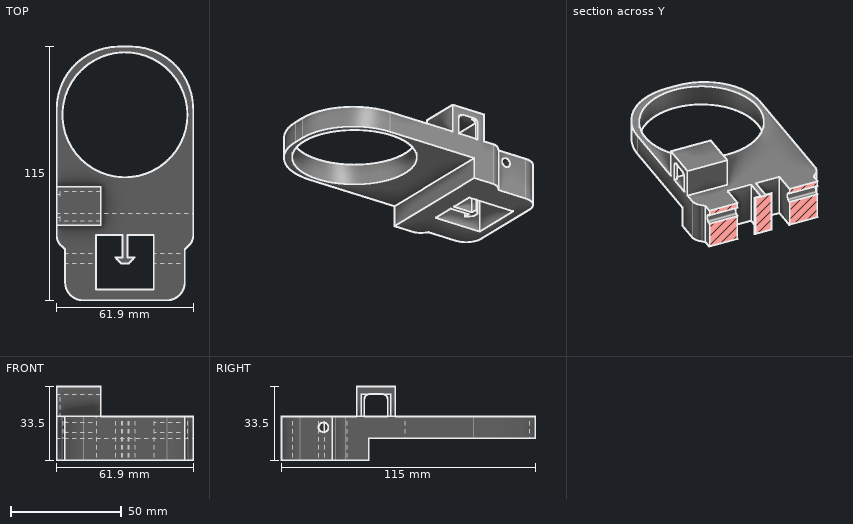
import cadquery as cq
import math

body_width = 61.9
body_length = 115.02
body_height = 20.0
plate_thickness = 10.0
half_width = body_width / 2
end_y = half_width
base_y = end_y - body_length

bore_diameter = 56.5
ring_corner_radius = bore_diameter / 2

block_start_y = -44.5
tail_half_width = 27.15
tail_corner_radius = 8.25
shoulder_start_y = -55.1
shoulder_arc_depth = 2.45
shoulder_arc_length = 4.5
shoulder_arc_bulge = 0.55

tunnel_width = 20.0
tunnel_length = 17.5
tunnel_height = 13.5
tunnel_wall = 3.5
tunnel_start_y = -32.5
tunnel_fillet = 2.3
tunnel_lip = 1.5
tunnel_undercut = 1.4

window_width = 26.0
window_length = 24.6
window_start_y = -54.5
tongue_width = 2.4
tongue_neck_length = 10.1
head_width = 8.8
head_tip_width = 3.4
head_length = 2.8

pin_diameter = 4.4
pin_y = -65.0
pin_z = 15.0


def make_body():
    chord = math.hypot(shoulder_arc_depth, shoulder_arc_length)
    arc_middle = (
        -half_width + shoulder_arc_depth / 2 - shoulder_arc_bulge * shoulder_arc_length / chord,
        shoulder_start_y - shoulder_arc_length / 2 - shoulder_arc_bulge * shoulder_arc_depth / chord,
    )
    arc_end = (-half_width + shoulder_arc_depth, shoulder_start_y - shoulder_arc_length)
    slope_run = half_width - shoulder_arc_depth - tail_half_width
    tail_y = arc_end[1] - slope_run
    half_outline = (
        cq.Workplane("XY")
        .moveTo(0, end_y)
        .lineTo(-half_width, end_y)
        .lineTo(-half_width, shoulder_start_y)
        .threePointArc(arc_middle, arc_end)
        .lineTo(-tail_half_width, tail_y)
        .lineTo(-tail_half_width, base_y)
        .lineTo(0, base_y)
    )
    body = half_outline.mirrorY().extrude(body_height)
    body = body.edges("|Z").edges(">Y").fillet(ring_corner_radius)
    return body.edges("|Z").edges("<Y").fillet(tail_corner_radius)


def make_plate_relief():
    """Material removed below the thin plate that carries the ring."""
    return cq.Workplane("XY").box(
        body_width, end_y - block_start_y, body_height - plate_thickness, centered=(True, False, False)
    ).translate((0, block_start_y, 0))


def make_bore():
    return cq.Workplane("XY").circle(bore_diameter / 2).extrude(body_height)


def make_tunnel():
    """Square tunnel whose rounded mouth on the -X side opens into a wider passage."""
    tunnel_y = tunnel_start_y - tunnel_length / 2
    tunnel_x = -half_width + tunnel_width / 2
    outer = cq.Workplane("XY").box(tunnel_width, tunnel_length, tunnel_height, centered=(True, True, False))
    opening_width = tunnel_length - 2 * tunnel_wall
    opening_height = tunnel_height - tunnel_wall
    mouth = cq.Workplane("XY").box(tunnel_width, opening_width, opening_height, centered=(True, True, False))
    mouth = mouth.edges("|X and >Z").fillet(tunnel_fillet)
    passage = cq.Workplane("XY").box(
        tunnel_width - tunnel_lip,
        opening_width + 2 * tunnel_undercut,
        opening_height,
        centered=(True, True, False),
    ).translate((tunnel_lip / 2, 0, 0))
    return outer.cut(mouth).cut(passage).translate((tunnel_x, tunnel_y, body_height))


def make_window():
    return cq.Workplane("XY").box(
        window_width, window_length, body_height, centered=(True, False, False)
    ).translate((0, window_start_y - window_length, 0))


def make_tongue():
    head_y = window_start_y - tongue_neck_length
    tip_y = head_y - head_length
    half_outline = (
        cq.Workplane("XY")
        .moveTo(0, window_start_y)
        .lineTo(-tongue_width / 2, window_start_y)
        .lineTo(-tongue_width / 2, head_y)
        .lineTo(-head_width / 2, head_y)
        .lineTo(-head_tip_width / 2, tip_y)
        .lineTo(0, tip_y)
    )
    return half_outline.mirrorY().extrude(body_height)


def make_pin_hole():
    hole = cq.Workplane("YZ").center(pin_y, pin_z).circle(pin_diameter / 2)
    return hole.extrude(half_width, both=True)


body = make_body().cut(make_plate_relief()).cut(make_bore())
body = body.cut(make_window()).cut(make_pin_hole())
result = body.union(make_tongue()).union(make_tunnel())